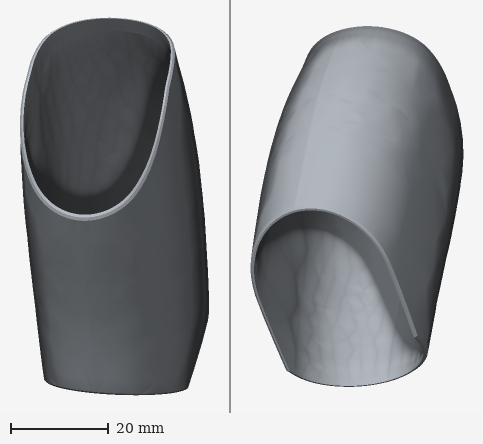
import cadquery as cq
import math

lean = 17.0
wall = 0.8
bevel = 0.4

belly_half_width = 16.3
end_half_width = 15.0
taper_station = 35.75
end_reach = 17.1

end_divisions = 4
straight_share = 0.5

collar_section = (32.3, 25.25, 17.0)
top_section = (40.4, 25.25, 15.85)
body_sections = [
    (-42.0, 26.4, 21.6),
    (-28.75, 25.9, 21.6),
    (-7.8, 24.9, 21.6),
    (7.8, 25.25, 21.0),
    (20.2, 25.3, 19.5),
    collar_section,
]

back_top = (5.4, 38.85)
front_tip = (-28.5, 7.0)
bottom_back = (28.6, -19.75)
bottom_corner = (1.2, -38.85)
bottom_front = (-16.4, -35.1)
rim_between = [(-3.0, 37.9), (-10.2, 35.1), (-16.6, 29.5), (-21.7, 21.1), (-25.2, 12.7)]
rim_start_direction = (-1.0, 0.0)
rim_end_direction = (-0.57, -0.82)
clearance = 7.8


def half_width(station):
    """The flanks bulge parabolically toward the middle of the sleeve."""
    return belly_half_width - (belly_half_width - end_half_width) * (station / taper_station) ** 2


def half_section(section, inset):
    """Closed outline of the +X half across the axis, with its straight edge on the symmetry plane."""
    station, front, back = section
    width = half_width(station) - inset
    reach = end_reach - inset
    front_center = inset + reach - front
    back_center = back - inset - reach
    end_steps = [step / end_divisions for step in range(end_divisions + 1)]
    angles = [math.pi / 2 * step for step in end_steps]
    front_end = [(width * math.sin(a), front_center - reach * math.cos(a)) for a in angles]
    back_end = [(width * math.sin(a), back_center + reach * math.cos(a)) for a in reversed(angles)]
    flank_middle = [(width, (front_center + back_center) / 2)]
    points = [cq.Vector(x, y, station) for x, y in front_end + flank_middle + back_end]
    knots = end_steps + [1 + straight_share / 2] + [1 + straight_share + step for step in end_steps]
    across = cq.Vector(width * math.pi / 2, 0, 0)
    flank = cq.Edge.makeSpline(points, tangents=[across, -across], parameters=knots, scale=False)
    return cq.Wire.assembleEdges([flank, cq.Edge.makeLine(points[-1], points[0])])


def half_tube(inset):
    """Solid +X half of the sleeve with its collar, shrunk by the inset."""
    body = cq.Solid.makeLoft([half_section(s, inset) for s in body_sections])
    collar = cq.Solid.makeLoft([half_section(s, inset) for s in (collar_section, top_section)], True)
    return cq.Workplane(obj=body).union(cq.Workplane(obj=collar))


def side_profile():
    """Block that keeps the material between the curved rim and the mitred bottom."""
    def outward(point, toward):
        """Point moved clear of the sleeve along the given direction."""
        return (point[0] + toward[0] * clearance, point[1] + toward[1] * clearance)

    mitre_slope = (bottom_back[1] - bottom_corner[1]) / (bottom_back[0] - bottom_corner[0])
    front_slope = (bottom_front[1] - bottom_corner[1]) / (bottom_corner[0] - bottom_front[0])
    return (
        cq.Workplane("YZ")
        .moveTo(*back_top)
        .spline(rim_between + [front_tip], tangents=[rim_start_direction, rim_end_direction],
                includeCurrent=True)
        .lineTo(*outward(front_tip, rim_end_direction))
        .lineTo(*outward(bottom_front, (-1.0, front_slope)))
        .lineTo(*bottom_corner)
        .lineTo(*outward(bottom_back, (1.0, mitre_slope)))
        .lineTo(back_top[0] + clearance, back_top[1])
        .close()
        .extrude(2 * belly_half_width, both=True)
    )


def leaning_half(inset):
    """Half tube turned to its final lean."""
    return half_tube(inset).rotate((0, 0, 0), (1, 0, 0), lean)


def bevel_ends(trimmed_half):
    """Bevel the outside edge of the rim and of the mitred bottom."""
    flatness = 1e-6
    cut_faces = trimmed_half.faces().filter(lambda face: abs(face.normalAt().x) < flatness)
    outer_edges = cut_faces.edges().filter(
        lambda edge: edge.geomType() != "LINE" and edge.Center().x > wall
    )
    return outer_edges.chamfer(bevel)


half_sleeve = bevel_ends(leaning_half(0).intersect(side_profile())).cut(leaning_half(wall))
result = half_sleeve.union(half_sleeve.mirror("YZ"))